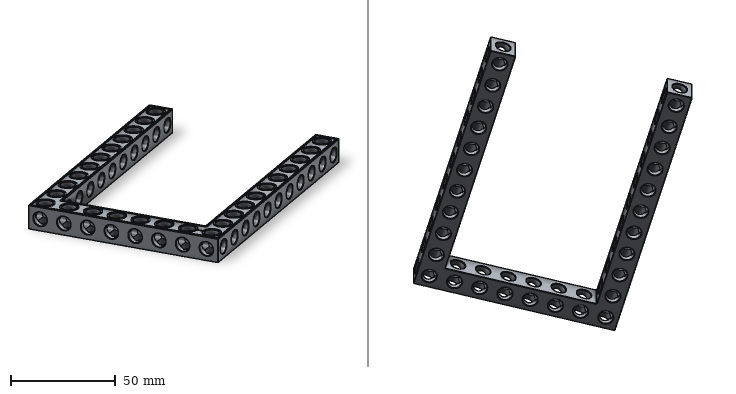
import cadquery as cq

LENGTH = 137.5
ARM_HOLES = 11
BASE_HOLES = 8
PITCH = LENGTH / ARM_HOLES
WIDTH = BASE_HOLES * PITCH

HOLE_DIAMETER = 7.0
HOLE_CHAMFER = 0.35
EDGE_CHAMFER = 0.3
RING_DIAMETER = 9.2
RIM_WIDTH = 1.1
RECESS_DEPTH = 0.3
RIB_WIDTH = 0.3


def hole_place(index):
    """Distance of a hole axis from the outer face where counting starts."""
    return (index + 0.5) * PITCH


def vertical_hole_places():
    """Axes of the vertical holes: the base row, then the rest of both arms."""
    places = [(hole_place(i), hole_place(0)) for i in range(BASE_HOLES)]
    for j in range(1, ARM_HOLES):
        places.append((hole_place(0), hole_place(j)))
        places.append((hole_place(BASE_HOLES - 1), hole_place(j)))
    return places


def u_prism(inset, height):
    """Upright prism with the U outline, moved inwards by the inset on every side."""
    arm = PITCH - inset
    return (
        cq.Workplane("XY")
        .moveTo(inset, inset)
        .lineTo(WIDTH - inset, inset)
        .lineTo(WIDTH - inset, LENGTH - inset)
        .lineTo(WIDTH - arm, LENGTH - inset)
        .lineTo(WIDTH - arm, arm)
        .lineTo(arm, arm)
        .lineTo(arm, LENGTH - inset)
        .lineTo(inset, LENGTH - inset)
        .close()
        .extrude(height)
    )


def beam_body():
    """Square-section U: a base along X and two arms along +Y, with chamfered edges."""
    return u_prism(0, PITCH).edges().chamfer(EDGE_CHAMFER)


def face_recess():
    """Cutter for the shallow top panel, leaving the rim, a ring around each hole and the rib."""
    rings = (
        cq.Workplane("XY")
        .pushPoints(vertical_hole_places())
        .circle(RING_DIAMETER / 2)
        .extrude(RECESS_DEPTH)
    )
    rib_centre = hole_place(BASE_HOLES - 1) - PITCH / 2
    rib = (
        cq.Workplane("XY")
        .center(rib_centre, hole_place(0))
        .rect(PITCH - HOLE_DIAMETER, RIB_WIDTH)
        .extrude(RECESS_DEPTH)
    )
    panel = u_prism(RIM_WIDTH, RECESS_DEPTH).cut(rings).cut(rib)
    return panel.translate((0, 0, PITCH - RECESS_DEPTH))


def hole_row(workplane, places, depth):
    """Cutters for through holes, straight from the workplane to the given depth."""
    return workplane.pushPoints(places).circle(HOLE_DIAMETER / 2).extrude(depth)


def mouth_row(workplane, places, depth):
    """Cutters for the 45 degree chamfers at both mouths of the same holes."""
    radius = HOLE_DIAMETER / 2
    cone = cq.Solid.makeCone(radius + HOLE_CHAMFER, radius, HOLE_CHAMFER)
    far_cone = cone.mirror("XY").translate(cq.Vector(0, 0, depth))
    both_cones = cq.Compound.makeCompound([cone, far_cone])
    return workplane.pushPoints(places).eachpoint(
        lambda place: both_cones.moved(place), useLocalCoordinates=True
    )


half = PITCH / 2
arm_places = [(hole_place(j), half) for j in range(ARM_HOLES)]
base_places = [(-hole_place(i), half) for i in range(BASE_HOLES)]
base_ends = [base_places[0], base_places[-1]]

bottom = cq.Workplane("XY")
left_arm = cq.Workplane("YZ")
right_arm = cq.Workplane("YZ", origin=(WIDTH - PITCH, 0, 0))
base = cq.Workplane(cq.Plane((0, 0, 0), xDir=(-1, 0, 0), normal=(0, 1, 0)))

result = beam_body().cut(face_recess())

hole_rows = [
    (bottom, vertical_hole_places(), PITCH),
    (base, base_ends, LENGTH),
    (base, base_places[1:-1], PITCH),
    (left_arm, arm_places[:1], WIDTH),
    (left_arm, arm_places[1:], PITCH),
    (right_arm, arm_places[1:], PITCH),
]
for start, places, depth in hole_rows:
    result = result.cut(hole_row(start, places, depth))
for start, places, depth in hole_rows:
    result = result.cut(mouth_row(start, places, depth))